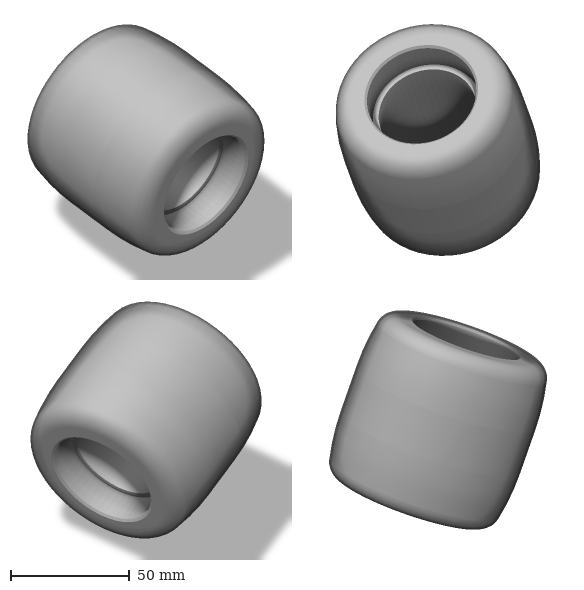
import cadquery as cq
import math

length = 74.0
outer_radius = 40.0
band_length = 20.0
crown_radius = 100.0
edge_radius = 7.5
bore_diameter = 42.0
seat_diameter = 46.9
seat_depth = 14.2
chamfer = 1.0

half_length = length / 2
half_band = band_length / 2

crown_center_r = outer_radius - crown_radius
edge_center_x = half_length - edge_radius
center_distance = crown_radius - edge_radius
edge_angle = math.asin((edge_center_x - half_band) / center_distance)
edge_center_r = crown_center_r + center_distance * math.cos(edge_angle)


def crown_point(angle):
    """Point (x, r) on the barrel arc, at an angle from the radial direction."""
    return (
        half_band + crown_radius * math.sin(angle),
        crown_center_r + crown_radius * math.cos(angle),
    )


def edge_point(angle):
    """Point (x, r) on the edge rounding, at an angle from the radial direction."""
    return (
        edge_center_x + edge_radius * math.sin(angle),
        edge_center_r + edge_radius * math.cos(angle),
    )


def mirrored(point):
    return (-point[0], point[1])


crown_middle = crown_point(edge_angle / 2)
crown_end = crown_point(edge_angle)
edge_middle = edge_point((edge_angle + math.pi / 2) / 2)
edge_end = (half_length, edge_center_r)

body = (
    cq.Workplane("XY")
    .moveTo(-half_length, 0)
    .lineTo(*mirrored(edge_end))
    .threePointArc(mirrored(edge_middle), mirrored(crown_end))
    .threePointArc(mirrored(crown_middle), (-half_band, outer_radius))
    .lineTo(half_band, outer_radius)
    .threePointArc(crown_middle, crown_end)
    .threePointArc(edge_middle, edge_end)
    .lineTo(half_length, 0)
    .close()
    .revolve(360, (0, 0, 0), (1, 0, 0))
)

bore = cq.Workplane("YZ").circle(bore_diameter / 2).extrude(half_length, both=True)
result = body.cut(bore)


def seat_cutter(side):
    """Bearing seat with a chamfered mouth; side is -1 or 1 along X."""
    mouth = side * half_length
    seat_radius = seat_diameter / 2
    return (
        cq.Workplane("XY")
        .moveTo(mouth, 0)
        .lineTo(mouth, seat_radius + chamfer)
        .lineTo(mouth - side * chamfer, seat_radius)
        .lineTo(mouth - side * seat_depth, seat_radius)
        .lineTo(mouth - side * seat_depth, 0)
        .close()
        .revolve(360, (0, 0, 0), (1, 0, 0))
    )


for side in (-1, 1):
    result = result.cut(seat_cutter(side))